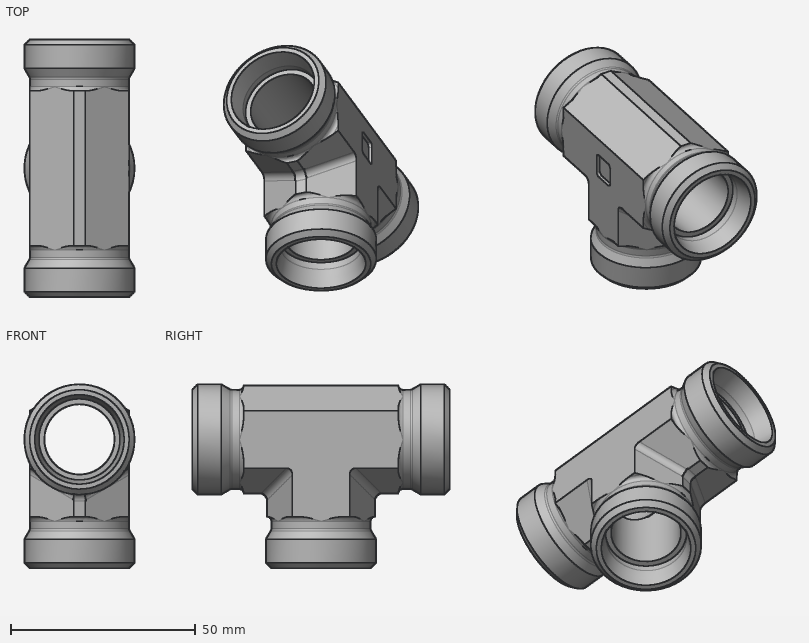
import cadquery as cq
import math

ARM_LENGTH = 35.0

HEX_FLATS = 27.0
HEX_EDGE_HEIGHT = 14.7
HEX_END = 21.0
HEX_SIDES = 6
HEX_HALF_ANGLE = 180 / HEX_SIDES
INNER_CORNER_RADIUS = 2.0
MITRE_TOLERANCE = 1e-4

COLLAR_DIAMETER = 30.0
COLLAR_LENGTH = 7.9
COLLAR_CHAMFER = 1.5
COLLAR_BACK_ANGLE = 30.0
NECK_DIAMETER = HEX_FLATS
NECK_FILLET = 1.2

BORE_DIAMETER = 19.0
SOCKET_DIAMETER = 22.0
SOCKET_DEPTH = 7.5
MOUTH_DIAMETER = 24.3
MOUTH_HALF_ANGLE = 12.0

RECESS_SIZE = 7.0
RECESS_CORNER_RADIUS = 1.0
RECESS_DEPTH = 1.0
RECESS_CENTRE_Z = -0.8

NECK_RADIUS = NECK_DIAMETER / 2
COLLAR_RADIUS = COLLAR_DIAMETER / 2
HEX_CORNER_RADIUS = HEX_FLATS / 2 / math.cos(math.radians(HEX_HALF_ANGLE))

BRANCH_TURN = 180
RUN_TURNS = (90, -90)
PORT_TURNS = (BRANCH_TURN, *RUN_TURNS)


def turned(arm, angle):
    """Turn an arm built along +Z about the X axis."""
    return arm.rotate((0, 0, 0), (1, 0, 0), angle)


def spun(profile):
    """Revolve a closed half profile, drawn in the XZ plane, about the Z axis."""
    return profile.revolve(360, (0, 0), (0, 1))


def hex_bar(length):
    """Hexagonal bar along +Z, flats on +-X, its +-Y edges cut to narrow lands."""
    hexagon = (
        cq.Workplane("XY")
        .polygon(HEX_SIDES, 2 * HEX_CORNER_RADIUS)
        .extrude(length)
        .rotate((0, 0, 0), (0, 0, 1), HEX_HALF_ANGLE)
    )
    lands = cq.Workplane("XY").rect(2 * HEX_CORNER_RADIUS, 2 * HEX_EDGE_HEIGHT).extrude(length)
    return hexagon.intersect(lands)


def hex_body():
    """Mitred hexagonal tee with rounded inner corners."""
    bar = hex_bar(HEX_END)
    body = turned(bar, BRANCH_TURN)
    for angle in RUN_TURNS:
        body = body.union(turned(bar, angle))
    body = body.clean()
    corners = []
    for edge in body.edges().vals():
        middle = edge.Center()
        on_mitre = math.isclose(abs(middle.y), -middle.z, abs_tol=MITRE_TOLERANCE)
        if on_mitre:
            corners.append(edge)
    return body.newObject(corners).fillet(INNER_CORNER_RADIUS)


def neck_flare():
    """Concave round from the hexagon shoulder to the neck, trimmed to the hexagon."""
    flare_end = HEX_END + NECK_FILLET
    flare_radius = NECK_RADIUS + NECK_FILLET
    bend = NECK_FILLET * math.sqrt(0.5)
    profile = (
        cq.Workplane("XZ")
        .moveTo(0, HEX_END)
        .lineTo(flare_radius, HEX_END)
        .threePointArc((flare_radius - bend, flare_end - bend), (NECK_RADIUS, flare_end))
        .lineTo(0, flare_end)
        .close()
    )
    return spun(profile).intersect(hex_bar(flare_end))


def collar():
    """Neck and chamfered collar along +Z, from the flare to the port face."""
    back_angle = math.radians(COLLAR_BACK_ANGLE)
    cone_top = ARM_LENGTH - COLLAR_LENGTH
    cone_foot = cone_top - (COLLAR_RADIUS - NECK_RADIUS) / math.tan(back_angle)
    tangent = NECK_FILLET * math.tan(back_angle / 2)
    round_start = cone_foot - tangent
    round_end = (NECK_RADIUS + tangent * math.sin(back_angle), cone_foot + tangent * math.cos(back_angle))
    round_middle = (
        NECK_RADIUS + NECK_FILLET * (1 - math.cos(back_angle / 2)),
        round_start + NECK_FILLET * math.sin(back_angle / 2),
    )
    profile = (
        cq.Workplane("XZ")
        .moveTo(0, HEX_END)
        .lineTo(NECK_RADIUS, HEX_END)
        .lineTo(NECK_RADIUS, round_start)
        .threePointArc(round_middle, round_end)
        .lineTo(COLLAR_RADIUS, cone_top)
        .lineTo(COLLAR_RADIUS, ARM_LENGTH - COLLAR_CHAMFER)
        .lineTo(COLLAR_RADIUS - COLLAR_CHAMFER, ARM_LENGTH)
        .lineTo(0, ARM_LENGTH)
        .close()
    )
    return spun(profile)


def bore():
    """Bore, tube socket and conical mouth of one arm along +Z."""
    bore_radius = BORE_DIAMETER / 2
    socket_radius = SOCKET_DIAMETER / 2
    mouth_radius = MOUTH_DIAMETER / 2
    cone_depth = (mouth_radius - socket_radius) / math.tan(math.radians(MOUTH_HALF_ANGLE))
    profile = (
        cq.Workplane("XZ")
        .moveTo(0, 0)
        .lineTo(bore_radius, 0)
        .lineTo(bore_radius, ARM_LENGTH - SOCKET_DEPTH)
        .lineTo(socket_radius, ARM_LENGTH - SOCKET_DEPTH)
        .lineTo(socket_radius, ARM_LENGTH - cone_depth)
        .lineTo(mouth_radius, ARM_LENGTH)
        .lineTo(0, ARM_LENGTH)
        .close()
    )
    return spun(profile)


def recess():
    """Shallow rounded square let into the -X flat."""
    return (
        cq.Workplane("XY")
        .box(2 * RECESS_DEPTH, RECESS_SIZE, RECESS_SIZE)
        .edges("|X")
        .fillet(RECESS_CORNER_RADIUS)
        .translate((-HEX_FLATS / 2, 0, RECESS_CENTRE_Z))
    )


port_end = collar().union(neck_flare())

result = hex_body()
for angle in PORT_TURNS:
    result = result.union(turned(port_end, angle))
for angle in PORT_TURNS:
    result = result.cut(turned(bore(), angle))
result = result.cut(recess())